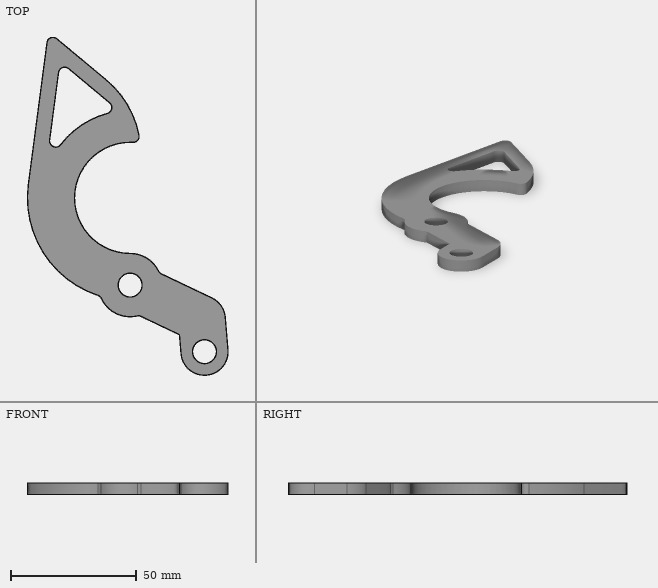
import cadquery as cq
import math

thickness = 4.7
throat_radius = 22.2
back_radius = 41.1
boss_radius = 12.7
hole_diameter = 9.5
arm_half_width = 9.5

pivot = (0, -(throat_radius + boss_radius))
elbow = (28.6, pivot[1] - 13.6)
pin = (29.7, pivot[1] - 26.6)

back_lean = 7.5
top_slope = 39.8
back_edge_length = 61.6
top_edge_length = 30.3
nose_overhang = 4.0
corner_radius = 2.4
junction_radius = 2.0

window_wall = 6.2
window_arc_radius = 35.0
window_side = 54.0

back_angle = math.radians(back_lean)
slope_angle = math.radians(top_slope)
back_direction = (math.sin(back_angle), math.cos(back_angle))
top_direction = (math.cos(slope_angle), -math.sin(slope_angle))


def along(start, direction, distance):
    return (start[0] + direction[0] * distance, start[1] + direction[1] * distance)


back_tangent = (-back_radius * math.cos(back_angle), back_radius * math.sin(back_angle))
tip = along(back_tangent, back_direction, back_edge_length)
nose_start = along(tip, top_direction, top_edge_length)


def disc(center, radius):
    return cq.Workplane("XY").center(*center).circle(radius).extrude(thickness)


def link(start, end):
    """Round-ended bar between two centres."""
    dx = end[0] - start[0]
    dy = end[1] - start[1]
    length = math.hypot(dx, dy)
    bar = (
        cq.Workplane("XY")
        .slot2D(length + 2 * arm_half_width, 2 * arm_half_width)
        .extrude(thickness)
    )
    bar = bar.rotate((0, 0, 0), (0, 0, 1), math.degrees(math.atan2(dy, dx)))
    return bar.translate(((start[0] + end[0]) / 2, (start[1] + end[1]) / 2, 0))


def round_corner(body, point, radius):
    """Fillet the upright edge nearest to a point in plan."""
    nearest = cq.selectors.NearestToPointSelector((*point, thickness / 2))
    return body.edges("|Z").edges(nearest).fillet(radius)


def make_hook():
    """C-shaped hook with its beak, ending on the centreline of the boss."""
    nose_corner = (nose_overhang, throat_radius)
    middle_angle = (math.pi - back_angle + 1.5 * math.pi) / 2
    back_middle = (back_radius * math.cos(middle_angle), back_radius * math.sin(middle_angle))
    hook = (
        cq.Workplane("XY")
        .moveTo(*back_tangent)
        .lineTo(*tip)
        .lineTo(*nose_start)
        .tangentArcPoint(nose_corner, relative=False)
        .lineTo(0, throat_radius)
        .threePointArc((-throat_radius, 0), (0, -throat_radius))
        .lineTo(0, -back_radius)
        .threePointArc(back_middle, back_tangent)
        .close()
        .extrude(thickness)
    )
    for corner in (tip, nose_corner):
        hook = round_corner(hook, corner, corner_radius)
    return hook


def make_window():
    """Rounded three-sided cutter, parallel to the beak edges and concentric with the throat."""
    tip_angle = math.pi / 2 + back_angle - slope_angle
    wall_along_edge = window_wall / math.sin(tip_angle)
    apex = along(along(tip, back_direction, -wall_along_edge), top_direction, wall_along_edge)
    window = (
        cq.Workplane("XY")
        .polyline([
            apex,
            along(apex, top_direction, window_side),
            along(apex, back_direction, -window_side),
        ])
        .close()
        .extrude(thickness)
        .cut(disc((0, 0), window_arc_radius))
    )
    window = window.solids(cq.selectors.NearestToPointSelector((*apex, thickness / 2)))
    return cq.Workplane(window.val()).edges("|Z").fillet(corner_radius)


def circle_crossing():
    """Left-hand crossing of the hook's back with the boss."""
    drop = pivot[1]
    y = (back_radius**2 - boss_radius**2 + drop**2) / (2 * drop)
    return (-math.sqrt(back_radius**2 - y**2), y)


def arm_crossing(side):
    """Crossing of the boss with the arm's upper (+1) or lower (-1) edge."""
    arm_angle = math.atan2(elbow[1] - pivot[1], elbow[0] - pivot[0])
    crossing_angle = arm_angle + side * math.asin(arm_half_width / boss_radius)
    return along(pivot, (math.cos(crossing_angle), math.sin(crossing_angle)), boss_radius)


result = make_hook().union(disc(pivot, boss_radius))
result = result.union(link(pivot, elbow)).union(link(elbow, pin)).clean()

for junction in (circle_crossing(), arm_crossing(1), arm_crossing(-1)):
    result = round_corner(result, junction, junction_radius)

result = result.cut(make_window())
for center in (pivot, pin):
    result = result.cut(disc(center, hole_diameter / 2))